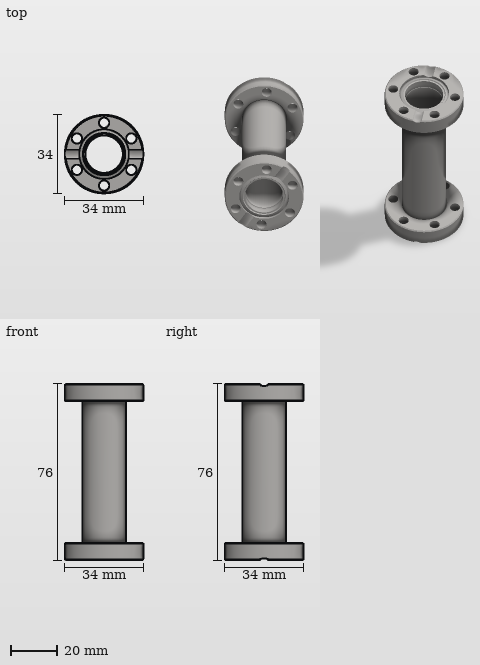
import cadquery as cq

overall_length = 76.0

flange_diameter = 34.0
flange_thickness = 7.5
edge_chamfer = 0.45

recess_diameter = 21.4
recess_depth = 1.4
knife_diameter = 18.4
knife_depth = 0.7
ledge_diameter = 17.85
ledge_depth = 1.15
flange_bore = 16.5

socket_diameter = 19.1
socket_top_depth = 4.8
socket_chamfer = 0.45

bolt_count = 6
bolt_hole_diameter = 4.3
bolt_circle_diameter = 27.05

groove_width = 3.95
groove_depth = 0.95
groove_radius = (groove_width**2 / 4 + groove_depth**2) / (2 * groove_depth)

tube_diameter = 19.0
tube_bore = 16.0
tube_length = overall_length - 2 * socket_top_depth


def flange_body():
    """Revolved flange with its sealing face up at z = 0 and its back at negative z."""
    outer = flange_diameter / 2
    socket = socket_diameter / 2
    back = -flange_thickness
    profile = [
        (flange_bore / 2, -ledge_depth),
        (ledge_diameter / 2, -ledge_depth),
        (knife_diameter / 2, -knife_depth),
        (recess_diameter / 2, -recess_depth),
        (recess_diameter / 2, 0),
        (outer - edge_chamfer, 0),
        (outer, -edge_chamfer),
        (outer, back + edge_chamfer),
        (outer - edge_chamfer, back),
        (socket + socket_chamfer, back),
        (socket, back + socket_chamfer),
        (socket, -socket_top_depth),
        (flange_bore / 2, -socket_top_depth),
    ]
    return cq.Workplane("XZ").polyline(profile).close().revolve(360, (0, 0, 0), (0, 1, 0))


def bolt_holes():
    """Cutters for the ring of bolt holes, with one hole on +Y."""
    return (
        cq.Workplane("XY")
        .polarArray(bolt_circle_diameter / 2, 90, 360, bolt_count)
        .circle(bolt_hole_diameter / 2)
        .extrude(-flange_thickness)
    )


def leak_groove():
    """Cylindrical cutter lying along X, its lowest line at the groove depth."""
    return (
        cq.Workplane("YZ")
        .center(0, groove_radius - groove_depth)
        .circle(groove_radius)
        .extrude(flange_diameter / 2, both=True)
    )


def knife_edge_guard():
    """Disc inside the recess wall that keeps the groove cutter off the knife edge."""
    return (
        cq.Workplane("XY")
        .circle(recess_diameter / 2)
        .extrude(2 * groove_radius, both=True)
    )


def make_flange():
    groove = leak_groove().cut(knife_edge_guard())
    return flange_body().cut(bolt_holes()).cut(groove)


def make_tube():
    """Plain tube centred on the origin, its ends seated in the flange sockets."""
    return (
        cq.Workplane("XY", origin=(0, 0, -tube_length / 2))
        .circle(tube_diameter / 2)
        .circle(tube_bore / 2)
        .extrude(tube_length)
    )


flanges = []
for turn in (0, 180):
    flange = make_flange().translate((0, 0, overall_length / 2))
    flanges.append(flange.rotate((0, 0, 0), (1, 0, 0), turn))

tube = make_tube()

result = cq.Compound.makeCompound([tube.val(), *[flange.val() for flange in flanges]])